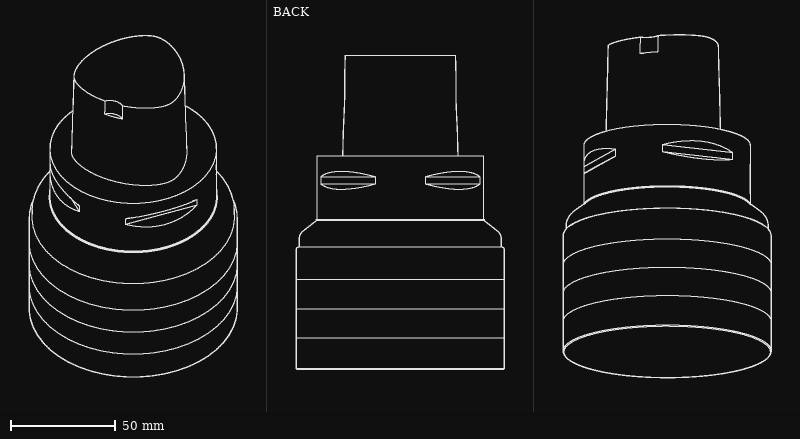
import cadquery as cq
import math

total_height = 150.6

disc_diameter = 100.0
disc_joint_heights = [15.0, 29.0, 43.0]
stack_height = 58.7
bottom_chamfer = 0.5
top_rounding = 1.4

collar_diameter = 80.0
shoulder_diameter = 97.1
shoulder_height = 3.8
rounding_radius = 5.0
cone_angle = 52.0
rim_radius = 40.4
rim_height = 0.6

shank_height = 48.2
shank_base_width = 55.4
shank_taper = 0.05
lobe_eccentricity = 2.1
outline_points = 48

notch_radius = 6.6
notch_depth = 2.1
notch_height = 8.1

groove_count = 4
groove_first_angle = 45.0
groove_depth = 4.5
groove_floor_width = 3.5
groove_flank_angle = 30.0
groove_middle_height = 90.7

disc_radius = disc_diameter / 2
collar_radius = collar_diameter / 2
shoulder_radius = shoulder_diameter / 2
collar_top = total_height - shank_height
shank_top_width = shank_base_width - shank_taper * shank_height


def make_disc(bottom, top):
    return cq.Workplane("XY").workplane(offset=bottom).circle(disc_radius).extrude(top - bottom)


def make_discs():
    """Stacked discs; the lowest is chamfered below and the highest rounded above."""
    levels = [0.0, *disc_joint_heights, stack_height]
    discs = [make_disc(bottom, top) for bottom, top in zip(levels, levels[1:])]
    discs[0] = discs[0].faces("<Z").edges().chamfer(bottom_chamfer)
    discs[-1] = discs[-1].faces(">Z").edges().fillet(top_rounding)
    return discs


def make_collar():
    """Turned body: straight shoulder, tangent rounding, cone, low rim and collar."""
    angle = math.radians(cone_angle)
    arc_center_radius = shoulder_radius - rounding_radius
    arc_start_height = stack_height + shoulder_height

    def arc_point(turn):
        return (arc_center_radius + rounding_radius * math.cos(turn),
                arc_start_height + rounding_radius * math.sin(turn))

    cone_base_radius, cone_base_height = arc_point(angle)
    cone_top = cone_base_height + (cone_base_radius - rim_radius) / math.tan(angle)
    return (
        cq.Workplane("XZ")
        .moveTo(0, stack_height)
        .lineTo(shoulder_radius, stack_height)
        .lineTo(shoulder_radius, arc_start_height)
        .threePointArc(arc_point(angle / 2), (cone_base_radius, cone_base_height))
        .lineTo(rim_radius, cone_top)
        .lineTo(rim_radius, cone_top + rim_height)
        .lineTo(collar_radius, cone_top + rim_height)
        .lineTo(collar_radius, collar_top)
        .lineTo(0, collar_top)
        .close()
        .revolve(360, (0, 0), (0, 1))
    )


def lobe_outline(width, height):
    """Closed curve of constant width with three lobes, one of them toward +Y."""
    points = []
    for i in range(outline_points):
        turn = 2 * math.pi * i / outline_points
        along = (width / 2 * math.cos(turn) + 2 * lobe_eccentricity * math.cos(2 * turn)
                 - lobe_eccentricity * math.cos(4 * turn))
        across = (width / 2 * math.sin(turn) - 2 * lobe_eccentricity * math.sin(2 * turn)
                  - lobe_eccentricity * math.sin(4 * turn))
        points.append(cq.Vector(-across, along, height))
    return cq.Wire.assembleEdges([cq.Edge.makeSpline(points, periodic=True)])


def make_shank():
    base = lobe_outline(shank_base_width, collar_top)
    top = lobe_outline(shank_top_width, total_height)
    return cq.Workplane(cq.Solid.makeLoft([base, top], True))


def make_notch():
    """Round notch in the middle of the flat side facing -Y, leaning with that side."""
    flat_side = -(shank_top_width / 2 - lobe_eccentricity)
    center_y = flat_side + notch_depth - notch_radius
    lean = math.degrees(math.atan(shank_taper / 2))
    return (
        cq.Workplane("XY")
        .workplane(offset=total_height - notch_height)
        .center(0, center_y)
        .circle(notch_radius)
        .extrude(2 * notch_height)
        .rotate((0, flat_side, total_height), (1, flat_side, total_height), -lean)
    )


def make_groove(angle):
    """Straight groove with a flat floor and sloping flanks, across the collar."""
    floor = collar_radius - groove_depth
    floor_half = groove_floor_width / 2
    mouth_half = floor_half + groove_depth * math.tan(math.radians(groove_flank_angle))
    return (
        cq.Workplane("XZ")
        .moveTo(floor, groove_middle_height - floor_half)
        .lineTo(collar_radius, groove_middle_height - mouth_half)
        .lineTo(collar_radius, groove_middle_height + mouth_half)
        .lineTo(floor, groove_middle_height + floor_half)
        .close()
        .extrude(collar_radius, both=True)
        .rotate((0, 0, 0), (0, 0, 1), angle)
    )


def make_holder():
    holder = make_collar().union(make_shank()).cut(make_notch())
    for i in range(groove_count):
        holder = holder.cut(make_groove(groove_first_angle + i * 360 / groove_count))
    return holder


holder = make_holder()
discs = make_discs()
result = cq.Compound.makeCompound([holder.solids().val(), *[disc.val() for disc in discs]])